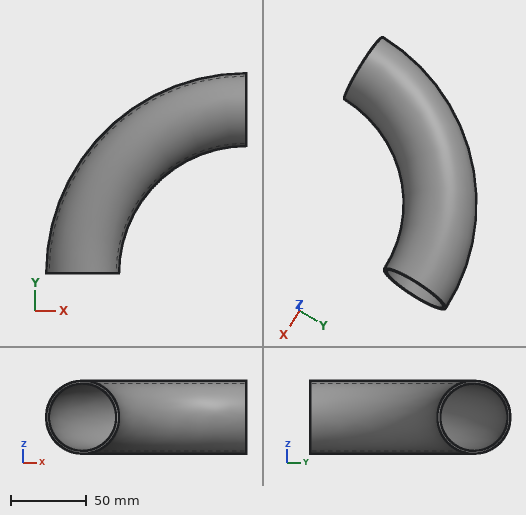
import cadquery as cq

overall_size = 132.2
outer_diameter = 48.2
wall_thickness = 2.0
bend_angle = 90.0

outer_radius = outer_diameter / 2
inner_radius = outer_radius - wall_thickness
bend_radius = overall_size - outer_radius

tube_section = cq.Workplane("XZ").circle(outer_radius).circle(inner_radius)

bend_axis_start = (bend_radius, 0, 0)
bend_axis_end = (bend_radius, -1, 0)
result = tube_section.revolve(bend_angle, bend_axis_start, bend_axis_end)